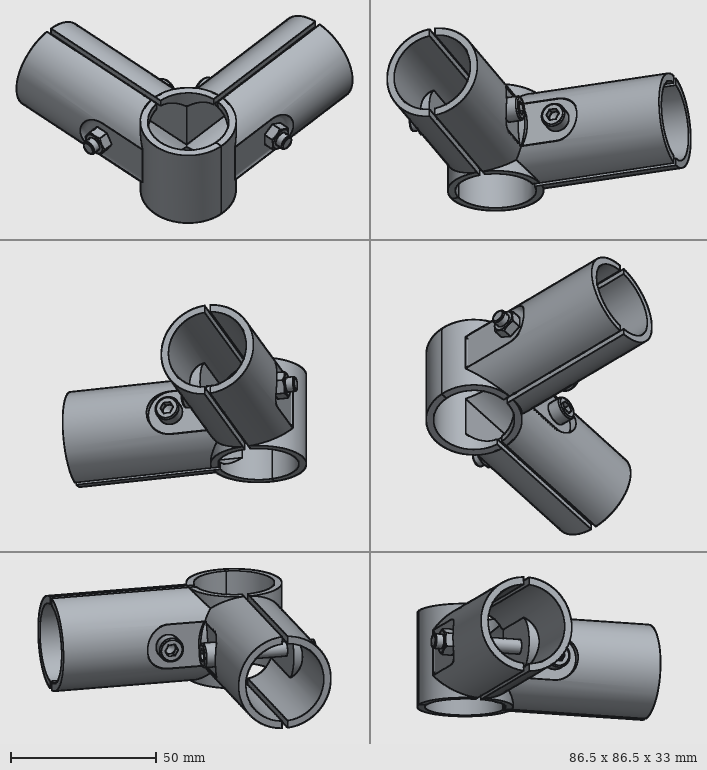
import cadquery as cq
import math

TUBE_D = 33.0
TUBE_R = TUBE_D / 2
WALL = 2.6
BORE_R = TUBE_R - WALL
ARM_LENGTH = 65.5
GAP = 2.0
HALF_GAP = GAP / 2

OVERALL = 86.5
BOLT_DISTANCE = 27.5
SEAT = 14.0
SHANK_D = 5.1
HOLE_D = 5.2
BOLT_TIP = OVERALL - ARM_LENGTH
TIP_CHAMFER = 0.4
HEAD_D = 8.5
HEAD_H = 5.0
HEAD_CHAMFER = 0.5
SOCKET_FLATS = 4.0
SOCKET_DEPTH = 2.5
NUT_FLATS = 8.0
NUT_H = 4.0
NUT_CHAMFER_D = 0.95 * NUT_FLATS
NUT_CHAMFER_ANGLE = 30
HEX_CORNERS = 2 / math.sqrt(3)
HEX_HALF_STEP = 30

POCKET_R = 8.0
PAD_R = POCKET_R + WALL
CORNER_PAD = 10.3
NUT_PAD = 10.8
NUT_POCKET_R = 8.65
NUT_POCKET_SHIFT = 0.7
NUT_POCKET_FILLET = 2.0
NUT_POCKET_END = 8.05
NUT_POCKET_END_FILLET = 0.6
REACH = 2 * ARM_LENGTH


def cylinder(radius, start, direction, length):
    return cq.Workplane(cq.Solid.makeCylinder(radius, length, cq.Vector(*start), cq.Vector(*direction)))


def block(low, high):
    size = [b - a for a, b in zip(low, high)]
    return cq.Workplane("XY").box(*size, centered=False).translate(low)


def swap_arms(shape):
    """Mirror a shape of the -X arm onto the +Y arm, exchanging X with -Y."""
    return shape.mirror("YZ").rotate((0, 0, 0), (0, 0, 1), 90)


def slot_prism(radius, side, near, far, center=-BOLT_DISTANCE):
    """Prism along the -X arm with a round end about X = center, running on to X = 0 between
    two distances from the arm axis; side is +1 toward +Y, -1 toward -Y."""
    low, high = sorted((side * near, side * far))
    outline = (
        cq.Workplane("XZ", origin=(0, high, 0))
        .moveTo(0, radius)
        .lineTo(center, radius)
        .threePointArc((center - radius, 0), (center, -radius))
        .lineTo(0, -radius)
        .close()
    )
    return outline.extrude(high - low)


ARM_ROD = cylinder(TUBE_R, (-ARM_LENGTH, 0, 0), (1, 0, 0), ARM_LENGTH)
TUBE_ROD = cylinder(TUBE_R, (0, 0, -TUBE_R), (0, 0, 1), TUBE_D)
TUBE_BORE = cylinder(BORE_R, (0, 0, -TUBE_R), (0, 0, 1), TUBE_D)
BOLT_HOLE = cylinder(HOLE_D / 2, (-BOLT_DISTANCE, -TUBE_R, 0), (0, 1, 0), TUBE_D)


def arm_bore(side, pad):
    """Space inside the -X arm, narrowed by the flat pad around the bolt."""
    bore = cylinder(BORE_R, (-ARM_LENGTH, 0, 0), (1, 0, 0), ARM_LENGTH)
    return bore.cut(slot_prism(PAD_R, side, pad, TUBE_R))


def corner_clamp():
    """Clamp between the two arms, with a seat for a bolt head on each."""
    pocket = slot_prism(POCKET_R, 1, SEAT, TUBE_R).cut(swap_arms(ARM_ROD))
    body = ARM_ROD.union(swap_arms(ARM_ROD)).union(TUBE_ROD)
    for cutter in (pocket, arm_bore(1, CORNER_PAD), BOLT_HOLE):
        body = body.cut(cutter).cut(swap_arms(cutter))
    body = body.cut(TUBE_BORE)
    return body.intersect(block((-REACH, HALF_GAP, -TUBE_R), (-HALF_GAP, REACH, TUBE_R)))


def nut_pocket():
    """Seat pocket with a filleted floor and a flat end cut into the side of the tube."""
    center = NUT_POCKET_SHIFT - BOLT_DISTANCE
    slot = slot_prism(NUT_POCKET_R, -1, SEAT, REACH, center)
    slot = slot.faces(">Y").edges("not >X").fillet(NUT_POCKET_FILLET)
    span = block((-REACH, -REACH, -TUBE_R), (-NUT_POCKET_END, -SEAT, TUBE_R))
    return slot.intersect(span.edges(">X and >Y").fillet(NUT_POCKET_END_FILLET))


def nut_clamp(tube_end):
    """Clamp half on the -Y side of the -X arm; its share of the tube stops at X = tube_end."""
    arm_space = block((-REACH, -TUBE_R, -TUBE_R), (-NUT_POCKET_END, TUBE_R, TUBE_R))
    body = ARM_ROD.intersect(arm_space).union(TUBE_ROD).cut(nut_pocket())
    body = body.cut(arm_bore(-1, NUT_PAD)).cut(TUBE_BORE).cut(BOLT_HOLE)
    return body.intersect(block((-REACH, -TUBE_R, -TUBE_R), (tube_end, -HALF_GAP, TUBE_R)))


def bolt():
    """Socket-head bolt across the -X arm, head toward +Y."""
    axis = cq.Workplane("XZ", origin=(-BOLT_DISTANCE, SEAT, 0))
    shank = axis.circle(SHANK_D / 2).extrude(SEAT + BOLT_TIP).faces("<Y").chamfer(TIP_CHAMFER)
    head = axis.circle(HEAD_D / 2).extrude(-HEAD_H).faces(">Y").chamfer(HEAD_CHAMFER)
    socket_r = SOCKET_FLATS / 2
    bottom = SEAT + HEAD_H - SOCKET_DEPTH
    socket = (
        cq.Workplane("XZ", origin=(-BOLT_DISTANCE, bottom, 0))
        .polygon(6, SOCKET_FLATS * HEX_CORNERS)
        .extrude(-SOCKET_DEPTH)
    )
    point = cq.Workplane(
        cq.Solid.makeCone(socket_r, 0, socket_r / 2, cq.Vector(-BOLT_DISTANCE, bottom, 0), cq.Vector(0, -1, 0))
    )
    return head.union(shank).cut(socket).cut(point)


def nut(turn):
    """Nut on the -Y side of the -X arm; turn is its rotation about the bolt."""
    axis = cq.Workplane("XZ", origin=(-BOLT_DISTANCE, -SEAT, 0))
    corner_r = NUT_FLATS * HEX_CORNERS / 2
    run = corner_r - NUT_CHAMFER_D / 2
    rise = run * math.tan(math.radians(NUT_CHAMFER_ANGLE))
    blank = axis.circle(corner_r).extrude(NUT_H).faces("<Y").chamfer(rise, run)
    hexagon = axis.transformed(rotate=(0, 0, turn)).polygon(6, 2 * corner_r).extrude(NUT_H)
    return hexagon.intersect(blank).cut(axis.circle(SHANK_D / 2).extrude(NUT_H))


corner = corner_clamp()
nut_clamps = [nut_clamp(TUBE_R), swap_arms(nut_clamp(HALF_GAP))]
bolts = [bolt(), swap_arms(bolt())]
nuts = [nut(0), swap_arms(nut(HEX_HALF_STEP))]

bodies = [corner, *nut_clamps, *bolts, *nuts]
result = cq.Compound.makeCompound([body.val() for body in bodies])